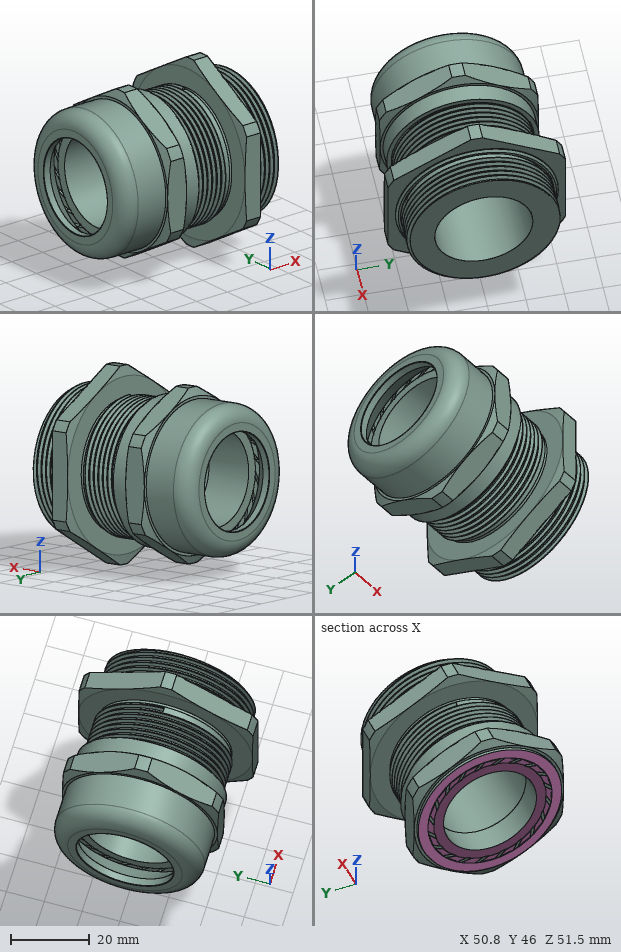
import cadquery as cq

CAP_DIAMETER = 39.55
CAP_FACE_DIAMETER = 30.35
DOME_RADIUS = (CAP_DIAMETER - CAP_FACE_DIAMETER) / 2
CAP_LENGTH = 24.4
CAP_MOUTH_DIAMETER = 26.0
CAP_LIP_DIAMETER = 25.7
CAP_MOUTH_CHAMFER = (CAP_MOUTH_DIAMETER - CAP_LIP_DIAMETER) / 2
CAP_LIP_END = 2.1
CAP_HEX_FLATS = 41.05
CAP_HEX_CORNERS = 45.55
CAP_HEX_START = 13.6
CAP_HEX_END = 19.75
CAP_HEX_CHAMFER = 1.05

INSERT_START = 6.7
SEAL_BORE = 25.4
SEAL_DIAMETER = 30.75
CLAW_DIAMETER = 33.95
FINGER_COUNT = 20
FINGER_SLOT_WIDTH = 0.75
FINGER_SLOT_LENGTH = 6.15
FINGER_SLOT_ANGLE = 11.5
FINGER_SLOT_TILT = 50.0

BODY_START = CAP_HEX_END
BODY_END = 50.8
BODY_BORE = SEAL_BORE
NECK_DIAMETER = 35.3
NECK_END = 36.05
UNDERCUT_DIAMETER = 35.25
STUD_DIAMETER = 38.2
FLANGE_START = 36.8
FLANGE_END = 41.85
FLANGE_FLATS = 46.0
FLANGE_CORNERS = 51.45
FLANGE_CHAMFER = 0.5

PITCH = 1.5
RIDGE_BASE = 1.1
RIDGE_CREST = 0.15
RIDGE_HEIGHT = 0.75
RIDGE_ROOT_OVERLAP = 0.15
NECK_THREAD_TURNS = 9
NECK_THREAD_END = 35.25
NECK_THREAD_START = NECK_THREAD_END - NECK_THREAD_TURNS * PITCH
NECK_THREAD_ANGLE = 90.0
STUD_THREAD_START = 42.6
STUD_THREAD_TURNS = 6
STUD_THREAD_ANGLE = 162.0
THREAD_CLEARANCE = 0.1

GASKET_DIAMETER = 42.2
GASKET_LENGTH = 0.75
GASKET_CHAMFER = 0.55


def cylinder(diameter, start, end):
    """Solid cylinder along X."""
    return cq.Workplane("YZ", origin=(start, 0, 0)).circle(diameter / 2).extrude(end - start)


def turned(points):
    """Solid of revolution about X from (x, radius) points."""
    return cq.Workplane("XY").polyline(points).close().revolve(360, (0, 0, 0), (1, 0, 0))


def chamfered_hexagon(flats, corners, start, end, chamfer, chamfer_both):
    """Hexagonal prism with flats facing +Y and -Y, corners turned and coned down to the flats."""
    prism = (
        cq.Workplane("YZ", origin=(start, 0, 0))
        .polygon(6, flats, circumscribed=True)
        .extrude(end - start)
    )
    blank_outline = [(start, 0), (start, flats / 2), (start + chamfer, corners / 2)]
    if chamfer_both:
        blank_outline += [(end - chamfer, corners / 2), (end, flats / 2), (end, 0)]
    else:
        blank_outline += [(end, corners / 2), (end, 0)]
    return prism.intersect(turned(blank_outline))


def thread_ridge(root_diameter, start, turns, start_angle):
    """Helical ridge around X; the angle is measured from +Y towards +Z."""
    root = root_diameter / 2
    crest = root + RIDGE_HEIGHT
    flank_slope = (RIDGE_BASE - RIDGE_CREST) / 2 / RIDGE_HEIGHT
    sunk_half_base = RIDGE_BASE / 2 + flank_slope * RIDGE_ROOT_OVERLAP
    helix = cq.Wire.makeHelix(PITCH, turns * PITCH, root)
    ridge = (
        cq.Workplane("XZ")
        .polyline([
            (root - RIDGE_ROOT_OVERLAP, -sunk_half_base),
            (crest, -RIDGE_CREST / 2),
            (crest, RIDGE_CREST / 2),
            (root - RIDGE_ROOT_OVERLAP, sunk_half_base),
        ])
        .close()
        .sweep(cq.Workplane(helix), isFrenet=True)
    )
    along_x = ridge.rotate((0, 0, 0), (1, 1, 1), 120)
    return along_x.rotate((0, 0, 0), (1, 0, 0), start_angle).translate((start, 0, 0))


def make_cap():
    shell = cylinder(CAP_DIAMETER, 0, CAP_LENGTH).faces("<X").edges().fillet(DOME_RADIUS)
    hexagon = chamfered_hexagon(
        CAP_HEX_FLATS, CAP_HEX_CORNERS, CAP_HEX_START, CAP_HEX_END, CAP_HEX_CHAMFER, True
    )
    thread_room = NECK_DIAMETER / 2 + RIDGE_HEIGHT + THREAD_CLEARANCE
    cavity = turned([
        (0, 0),
        (0, CAP_MOUTH_DIAMETER / 2),
        (CAP_MOUTH_CHAMFER, CAP_LIP_DIAMETER / 2),
        (CAP_LIP_END, CAP_LIP_DIAMETER / 2),
        (INSERT_START, CLAW_DIAMETER / 2),
        (BODY_START, CLAW_DIAMETER / 2),
        (BODY_START, thread_room),
        (CAP_LENGTH, thread_room),
        (CAP_LENGTH, 0),
    ])
    return shell.union(hexagon).cut(cavity)


def make_claw():
    claw = cylinder(CLAW_DIAMETER, INSERT_START, BODY_START)
    claw = claw.cut(cylinder(SEAL_DIAMETER, INSERT_START, BODY_START))
    claw_radius = CLAW_DIAMETER / 2
    claw_wall = (CLAW_DIAMETER - SEAL_DIAMETER) / 2
    slot = (
        cq.Workplane("XY")
        .box(2 * FINGER_SLOT_LENGTH, 4 * claw_wall, FINGER_SLOT_WIDTH)
        .rotate((0, 0, 0), (1, 0, 0), FINGER_SLOT_TILT)
        .translate((INSERT_START, claw_radius, 0))
    )
    for index in range(FINGER_COUNT):
        angle = FINGER_SLOT_ANGLE + index * 360 / FINGER_COUNT
        claw = claw.cut(slot.rotate((0, 0, 0), (1, 0, 0), angle))
    return claw


def make_seal():
    seal = cylinder(SEAL_DIAMETER, INSERT_START, BODY_START)
    return seal.cut(cylinder(SEAL_BORE, INSERT_START, BODY_START))


def make_body():
    neck = cylinder(NECK_DIAMETER, BODY_START, NECK_END)
    neck = neck.union(thread_ridge(NECK_DIAMETER, NECK_THREAD_START, NECK_THREAD_TURNS, NECK_THREAD_ANGLE))
    undercut = cylinder(UNDERCUT_DIAMETER, NECK_END, FLANGE_START)
    flange = chamfered_hexagon(FLANGE_FLATS, FLANGE_CORNERS, FLANGE_START, FLANGE_END, FLANGE_CHAMFER, False)
    stud = cylinder(STUD_DIAMETER, FLANGE_END, BODY_END + PITCH)
    stud = stud.union(thread_ridge(STUD_DIAMETER, STUD_THREAD_START, STUD_THREAD_TURNS, STUD_THREAD_ANGLE))
    stud = stud.cut(cylinder(FLANGE_CORNERS, BODY_END, BODY_END + 2 * PITCH))
    return neck.union(undercut).union(flange).union(stud).cut(cylinder(BODY_BORE, BODY_START, BODY_END))


def make_gasket():
    end = FLANGE_END + GASKET_LENGTH
    ring = cylinder(GASKET_DIAMETER, FLANGE_END, end).faces(">X").edges().chamfer(GASKET_CHAMFER)
    return ring.cut(cylinder(STUD_DIAMETER + 2 * RIDGE_HEIGHT + THREAD_CLEARANCE, FLANGE_END, end))


cap = make_cap()
claw = make_claw()
seal = make_seal()
body = make_body()
gasket = make_gasket()

result = cq.Compound.makeCompound([cap.val(), claw.val(), seal.val(), body.val(), gasket.val()])